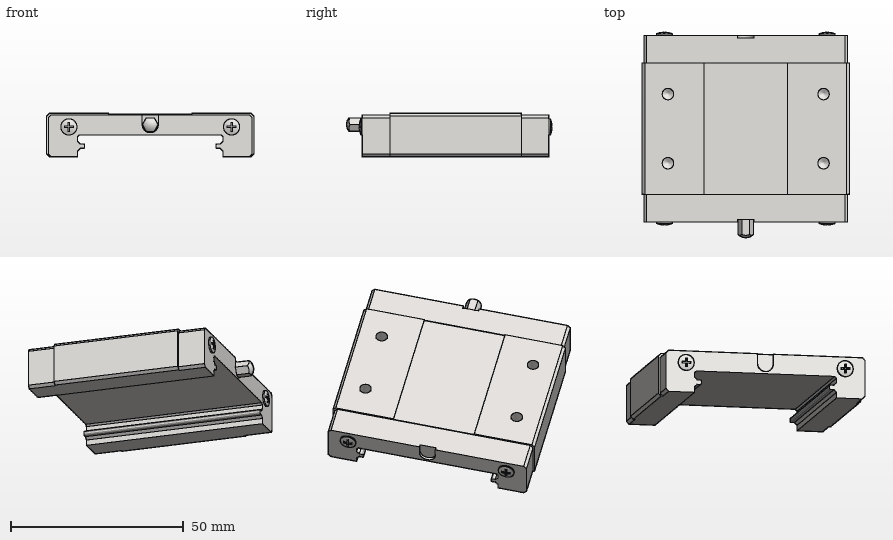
import cadquery as cq
import math

carriage_width = 60.0
carriage_length = 38.0
carriage_height = 12.6
end_width = 59.0
end_length = 54.0
end_height = 12.1
edge_chamfer = 0.85

channel_half_width = 21.0
channel_roof = 6.3
roof_corner_chamfer = 0.55
rib_tip = 18.95
rib_neck = 20.2
rib_bottom = 2.4
rib_top = 3.7
rib_root_flare = 0.8
rib_tip_radius = 0.35

recess_width = 24.0
recess_depth = 0.25

hole_spacing_x = 45.0
hole_spacing_y = 20.0
hole_diameter = 3.3
hole_depth = 6.0
drill_point_angle = 118.0

slot_width = 4.7
slot_depth = 0.8
nipple_height = 9.3
nipple_corner_diameter = 4.55
nipple_reach = 4.55
nipple_dome = 1.0

screw_spacing = 47.05
screw_height = 8.65
head_diameter = 4.7
head_rim = 0.4
head_rise = 0.9
cross_length = 2.5
cross_width = 0.5
cross_depth = 0.6

front_y = -end_length / 2


def chamfered_bar(width, length, height):
    bar = cq.Workplane("XY").box(width, length, height, centered=(True, True, False))
    return bar.edges("|Y").chamfer(edge_chamfer)


def rail_channel():
    """Channel with one rib standing out of each side wall."""
    half = (
        cq.Workplane("XZ")
        .moveTo(0, 0)
        .lineTo(channel_half_width, 0)
        .lineTo(channel_half_width, rib_bottom - rib_root_flare)
        .lineTo(rib_neck, rib_bottom)
        .lineTo(rib_tip, rib_bottom)
        .lineTo(rib_tip, rib_top)
        .lineTo(rib_neck, rib_top)
        .lineTo(channel_half_width, rib_top + rib_root_flare)
        .lineTo(channel_half_width, channel_roof - roof_corner_chamfer)
        .lineTo(channel_half_width - roof_corner_chamfer, channel_roof)
        .lineTo(0, channel_roof)
        .close()
        .extrude(end_length / 2, both=True)
    )
    for corner_z in (rib_bottom, rib_top):
        tip_corner = cq.selectors.NearestToPointSelector((rib_tip, 0, corner_z))
        half = half.edges("|Y").edges(tip_corner).fillet(rib_tip_radius)
    return half.union(half.mirror("YZ"))


def top_recess():
    return (
        cq.Workplane("XY")
        .workplane(offset=carriage_height - recess_depth)
        .rect(recess_width, carriage_length)
        .extrude(recess_depth)
    )


def mounting_holes():
    """Blind drilled holes with a conical bottom."""
    radius = hole_diameter / 2
    point = radius / math.tan(math.radians(drill_point_angle / 2))
    drill = (
        cq.Workplane("XZ")
        .moveTo(0, carriage_height)
        .lineTo(radius, carriage_height)
        .lineTo(radius, carriage_height - hole_depth)
        .lineTo(0, carriage_height - hole_depth - point)
        .close()
        .revolve(360, (0, 0, 0), (0, 1, 0))
        .val()
    )
    centers = cq.Workplane("XY").rarray(hole_spacing_x, hole_spacing_y, 2, 2)
    return centers.eachpoint(drill, combine=False)


def front_slot():
    """Round-bottomed slot in the front face, open at the top."""
    radius = slot_width / 2
    return (
        cq.Workplane("XZ", origin=(0, front_y, 0))
        .moveTo(-radius, end_height)
        .lineTo(-radius, nipple_height)
        .threePointArc((0, nipple_height - radius), (radius, nipple_height))
        .lineTo(radius, end_height)
        .close()
        .extrude(-slot_depth)
    )


def dome(radius, straight, rise):
    """Round button: a straight shank, then a spherical cap; it stands on Z = 0."""
    sphere_radius = (radius**2 + rise**2) / (2 * rise)
    slant = math.asin(radius / sphere_radius) / 2
    midpoint = (
        sphere_radius * math.sin(slant),
        straight + rise - sphere_radius * (1 - math.cos(slant)),
    )
    return (
        cq.Workplane("XZ")
        .lineTo(radius, 0)
        .lineTo(radius, straight)
        .threePointArc(midpoint, (0, straight + rise))
        .close()
        .revolve(360, (0, 0, 0), (0, 1, 0))
    )


def face_forward(shape, x, y, z):
    """Turn a shape that stands along +Z to point along -Y and place it."""
    return shape.rotate((0, 0, 0), (1, 0, 0), 90).translate((x, y, z))


def nipple():
    """Hexagonal nipple with a domed tip, standing on the slot floor."""
    length = nipple_reach + slot_depth
    hexagon = cq.Workplane("XY").polygon(6, nipple_corner_diameter).extrude(length)
    tip = dome(nipple_corner_diameter / 2, length - nipple_dome, nipple_dome)
    return face_forward(hexagon.intersect(tip), 0, front_y + slot_depth, nipple_height)


def front_screw(x):
    """Domed screw head with a cross recess."""
    head = dome(head_diameter / 2, head_rim, head_rise - head_rim)
    cross = (
        cq.Workplane("XY")
        .workplane(offset=head_rise - cross_depth)
        .rect(cross_length, cross_width)
        .extrude(cross_depth)
    )
    head = head.cut(cross).cut(cross.rotate((0, 0, 0), (0, 0, 1), 90))
    return face_forward(head, x, front_y, screw_height)


body = chamfered_bar(end_width, end_length, end_height)
body = body.union(chamfered_bar(carriage_width, carriage_length, carriage_height))
body = body.cut(rail_channel()).cut(top_recess()).cut(mounting_holes())
body = body.cut(front_slot()).cut(front_slot().mirror("XZ"))

for screw_x in (-screw_spacing / 2, screw_spacing / 2):
    screw = front_screw(screw_x)
    body = body.union(screw).union(screw.mirror("XZ"))

result = body.union(nipple())